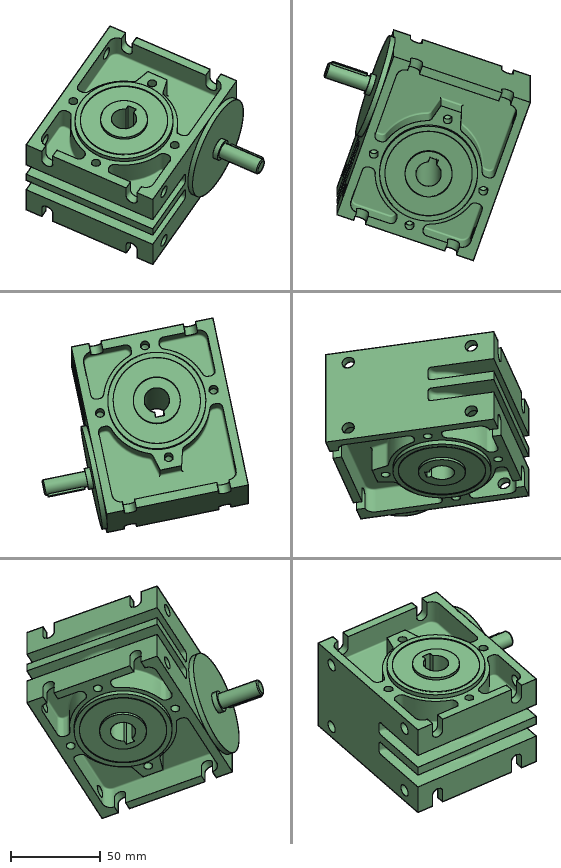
import cadquery as cq
import math


body_width = 81.0
body_height = 58.5
body_front = -40.0
body_back = 57.0
half_width = body_width / 2
half_height = body_height / 2

place_tolerance = 0.1

rim_radius = 27.4
rim_height = 2.7
recess_radius = 24.4
recess_depth = 0.6
boss_radius = 13.2
boss_top = 33.0
bore_radius = 7.0
keyway_width = 5.0
keyway_top = 9.4

tapped_circle_radius = 32.5
tapped_count = 4
tapped_radius = 2.5
tapped_depth = 10.0
drill_half_angle = math.radians(59)

wall = 5.0
pocket_depth = 14.9
hub_wall_radius = 30.0
spoke_half_width = 8.0
tower_reach = 38.7
tower_tip_half_width = 6.1
tower_root_half_width = 9.0
tower_root_y = 27.9
outer_corner_radius = 5.0
inner_corner_radius = 3.0
floor_fillet = 1.0

mount_radius = 3.5
mount_inset = 13.0
mount_z = 21.9
mount_front_y = body_front + mount_inset
mount_back_y = body_back - mount_inset
slot_x = 27.0

groove_radius = 34.0
groove_end_y = -2.1
groove_bottom = 2.8
groove_top = 11.2
groove_end_radius = 4.9
groove_fillet = 2.0

shaft_y = 30.0
flange_radius = 29.4
flange_thickness = 3.0
collar_radius = 6.0
collar_length = 3.0
shaft_radius = 4.5
overall_width = 111.5
shaft_end = overall_width - half_width
shaft_chamfer = 0.7
key_width = 3.0
key_length = 21.2
key_top = 5.5
key_start = 1.9


def block(x_min, x_max, y_min, y_max, z_min, z_max):
    """Box given by its limits along each axis."""
    size = (x_max - x_min, y_max - y_min, z_max - z_min)
    return cq.Workplane("XY").box(*size, centered=False).translate((x_min, y_min, z_min))


def disc(radius, z_min, z_max):
    """Cylinder on the output axis."""
    return cq.Workplane("XY").workplane(offset=z_min).circle(radius).extrude(z_max - z_min)


def x_cylinder(radius, x_min, x_max, y=0.0, z=0.0):
    """Cylinder along X."""
    return cq.Workplane("YZ", origin=(x_min, y, z)).circle(radius).extrude(x_max - x_min)


def both_faces(shape):
    """The shape together with its mirror image below the mid plane."""
    return shape.union(shape.mirror("XY"))


def hub():
    """Recessed rim and central boss raised from both faces."""
    rim_top = half_height + rim_height
    raised = disc(rim_radius, 0, rim_top)
    raised = raised.cut(disc(recess_radius, rim_top - recess_depth, rim_top))
    return both_faces(raised.union(disc(boss_radius, 0, boss_top)))


def bore():
    """Through bore with its keyway on the back side."""
    keyway = block(-keyway_width / 2, keyway_width / 2, 0, keyway_top, -boss_top, boss_top)
    return disc(bore_radius, -boss_top, boss_top).union(keyway)


def is_outer_corner(edge):
    """True for the pocket corners next to a corner of the housing."""
    centre = edge.Center()
    side_gap = abs(abs(centre.x) - (half_width - wall))
    front_gap = abs(centre.y - (body_front + wall))
    back_gap = abs(centre.y - (body_back - wall))
    return side_gap < place_tolerance and min(front_gap, back_gap) < place_tolerance


def is_tower_tip(edge):
    """True for the two corners of the tower, which stay sharp."""
    return abs(edge.Center().y - tower_reach) < place_tolerance


def pockets():
    """The three pockets of the top face, left around the hub, its spokes and the tower."""
    floor = half_height - pocket_depth
    space = block(
        wall - half_width, half_width - wall, body_front + wall, body_back - wall, floor, half_height
    )
    side_spokes = block(
        -half_width, half_width, -spoke_half_width, spoke_half_width, floor, half_height
    )
    front_spoke = block(-spoke_half_width, spoke_half_width, body_front, 0, floor, half_height)
    tower = (
        cq.Workplane("XY")
        .workplane(offset=floor)
        .moveTo(-tower_root_half_width, tower_root_y)
        .lineTo(-tower_tip_half_width, tower_reach)
        .lineTo(tower_tip_half_width, tower_reach)
        .lineTo(tower_root_half_width, tower_root_y)
        .lineTo(0, 0)
        .close()
        .extrude(pocket_depth)
    )
    islands = disc(hub_wall_radius, floor, half_height).union(side_spokes).union(front_spoke).union(tower)
    space = space.cut(islands)

    corners = space.edges("|Z")
    outer = corners.filter(is_outer_corner)
    space = outer.fillet(outer_corner_radius)
    inner = corners.filter(lambda edge: not is_outer_corner(edge) and not is_tower_tip(edge))
    space = space.newObject(inner.vals()).fillet(inner_corner_radius)
    return space.faces("<Z").edges().fillet(floor_fillet)


def tapped_holes():
    """Blind holes with a drill point, evenly spaced around the hub in the top face."""
    tip = tapped_radius / math.tan(drill_half_angle)
    hole = (
        cq.Workplane("XZ")
        .moveTo(0, half_height)
        .lineTo(tapped_radius, half_height)
        .lineTo(tapped_radius, half_height - tapped_depth)
        .lineTo(0, half_height - tapped_depth - tip)
        .close()
        .revolve(360, (0, 0, 0), (0, 1, 0))
    )
    return cq.Workplane("XY").polarArray(tapped_circle_radius, 0, 360, tapped_count).eachpoint(
        lambda location: hole.val().moved(location), combine=False
    )


def wall_openings():
    """Round holes in the side walls and open slots in the front and back walls of one face.

    The wall that carries the input flange has no hole behind the flange.
    """
    openings = x_cylinder(mount_radius, half_width - wall, half_width, mount_front_y, mount_z)
    for y in (mount_front_y, mount_back_y):
        openings = openings.union(x_cylinder(mount_radius, -half_width, wall - half_width, y, mount_z))
    slot = (
        cq.Workplane("XZ", origin=(0, wall, mount_z))
        .circle(mount_radius)
        .extrude(wall)
        .union(block(-mount_radius, mount_radius, 0, wall, mount_z, half_height))
    )
    for x in (-slot_x, slot_x):
        for y in (body_front, body_back - wall):
            openings = openings.union(slot.translate((x, y, 0)))
    return openings


def cooling_groove():
    """Groove with rounded bottom edges that leaves a round core concentric with the bore."""
    margin = 2 * groove_fillet
    groove = block(
        -half_width - margin, half_width + margin,
        body_front - margin, groove_end_y,
        groove_bottom, groove_top,
    )
    core_edge_x = math.sqrt(groove_radius**2 - groove_end_y**2)
    groove = groove.cut(disc(groove_radius, groove_bottom, groove_top))
    inner_ends = groove.edges("|Z").filter(
        lambda edge: abs(abs(edge.Center().x) - core_edge_x) < place_tolerance
    )
    groove = groove.newObject(inner_ends.vals()).fillet(groove_end_radius)
    round_faces = groove.faces("%CYLINDER")
    return round_faces.edges("not |Z").fillet(groove_fillet)


def input_shaft():
    """Round flange, collar and chamfered shaft with a round-ended key on its back side."""
    flange_end = half_width + flange_thickness
    collar_end = flange_end + collar_length
    shaft = x_cylinder(shaft_radius, collar_end, shaft_end).faces(">X").chamfer(shaft_chamfer)
    key = (
        cq.Workplane("XZ")
        .center(collar_end + key_start + key_length / 2, 0)
        .slot2D(key_length, key_width)
        .extrude(-key_top)
    )
    return (
        x_cylinder(flange_radius, half_width, flange_end)
        .union(x_cylinder(collar_radius, flange_end, collar_end))
        .union(shaft)
        .union(key)
        .translate((0, shaft_y, 0))
    )


housing = block(-half_width, half_width, body_front, body_back, -half_height, half_height)
face_cuts = pockets().union(tapped_holes()).union(wall_openings()).union(cooling_groove())
housing = housing.cut(both_faces(face_cuts))
result = housing.union(hub()).cut(bore()).union(input_shaft())